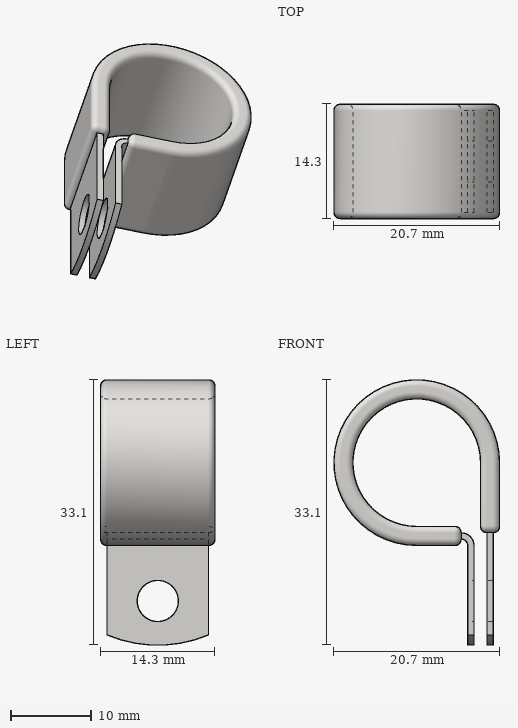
import cadquery as cq
import math


bore_radius = 7.94
strap_thickness = 0.8
strap_width = 12.7
cushion_width = 14.29
tab_bottom_z = -22.78
tab_gap = 1.59
hole_diameter = 5.1
hole_to_tab_bottom = 5.53
tab_end_radius = 16.2

loop_middle_angle = 135
bend_middle_angle = 45

cushion_layer = strap_thickness
outer_radius = bore_radius + 2 * cushion_layer + strap_thickness
edge_radius = (cushion_width - strap_width) / 2

strap_inner_radius = bore_radius + cushion_layer
strap_outer_radius = strap_inner_radius + strap_thickness
bend_inner_radius = strap_thickness
bend_outer_radius = bend_inner_radius + strap_thickness

inner_tab_right_x = strap_inner_radius - tab_gap
inner_tab_left_x = inner_tab_right_x - strap_thickness
bend_x = inner_tab_right_x - bend_outer_radius
bend_z = -strap_inner_radius - bend_outer_radius

cushion_lower_end_x = bend_x
cushion_side_end_z = -bore_radius - edge_radius

hole_z = tab_bottom_z + hole_to_tab_bottom
half_strap = strap_width / 2
tab_end_sag = tab_end_radius - math.sqrt(tab_end_radius**2 - half_strap**2)
tab_corner_z = tab_bottom_z + tab_end_sag


def circle_point(center_x, center_z, radius, degrees):
    """Point on a circle in the XZ plane, with the angle measured from +X toward +Z."""
    angle = math.radians(degrees)
    return (center_x + radius * math.cos(angle), center_z + radius * math.sin(angle))


def extrude_about_xz(outline, width):
    """Close an XZ outline and extrude it symmetrically along Y to the given full width."""
    return outline.close().extrude(width / 2, both=True)


def make_cushion():
    """Three-quarter loop with a lower leg along X and a side leg along Z, all edges rounded."""
    outline = (
        cq.Workplane("XZ")
        .moveTo(outer_radius, cushion_side_end_z)
        .lineTo(outer_radius, 0)
        .threePointArc(circle_point(0, 0, outer_radius, loop_middle_angle), (0, -outer_radius))
        .lineTo(cushion_lower_end_x, -outer_radius)
        .lineTo(cushion_lower_end_x, -bore_radius)
        .lineTo(0, -bore_radius)
        .threePointArc(circle_point(0, 0, bore_radius, loop_middle_angle), (bore_radius, 0))
        .lineTo(bore_radius, cushion_side_end_z)
    )
    body = extrude_about_xz(outline, cushion_width)
    side_edges = body.faces("|Y").edges().vals()
    end_centers = [
        (strap_inner_radius, 0, cushion_side_end_z),
        (cushion_lower_end_x, 0, -strap_inner_radius),
    ]
    end_edges = []
    for center in end_centers:
        end_face = body.faces(cq.NearestToPointSelector(center))
        end_edges += end_face.edges("|Y").vals()
    return body.newObject(side_edges + end_edges).fillet(edge_radius)


def make_strap():
    """Constant-thickness strap: outer tab, loop, lower leg, bend and inner tab."""
    outline = (
        cq.Workplane("XZ")
        .moveTo(strap_outer_radius, tab_bottom_z)
        .lineTo(strap_outer_radius, 0)
        .threePointArc(circle_point(0, 0, strap_outer_radius, loop_middle_angle), (0, -strap_outer_radius))
        .lineTo(bend_x, -strap_outer_radius)
        .threePointArc(
            circle_point(bend_x, bend_z, bend_inner_radius, bend_middle_angle),
            (inner_tab_left_x, bend_z),
        )
        .lineTo(inner_tab_left_x, tab_bottom_z)
        .lineTo(inner_tab_right_x, tab_bottom_z)
        .lineTo(inner_tab_right_x, bend_z)
        .threePointArc(
            circle_point(bend_x, bend_z, bend_outer_radius, bend_middle_angle),
            (bend_x, -strap_inner_radius),
        )
        .lineTo(0, -strap_inner_radius)
        .threePointArc(circle_point(0, 0, strap_inner_radius, loop_middle_angle), (strap_inner_radius, 0))
        .lineTo(strap_inner_radius, tab_bottom_z)
    )
    return extrude_about_xz(outline, strap_width)


def make_tab_envelope():
    """Strap silhouette seen along X, with the curved tab ends."""
    return (
        cq.Workplane("YZ")
        .moveTo(-half_strap, outer_radius)
        .lineTo(-half_strap, tab_corner_z)
        .threePointArc((0, tab_bottom_z), (half_strap, tab_corner_z))
        .lineTo(half_strap, outer_radius)
        .close()
        .extrude(outer_radius, both=True)
    )


def make_bolt_hole():
    """Drill running along X through both tabs."""
    return (
        cq.Workplane("YZ")
        .center(0, hole_z)
        .circle(hole_diameter / 2)
        .extrude(outer_radius, both=True)
    )


strap = make_strap().intersect(make_tab_envelope()).cut(make_bolt_hole())
result = make_cushion().union(strap)